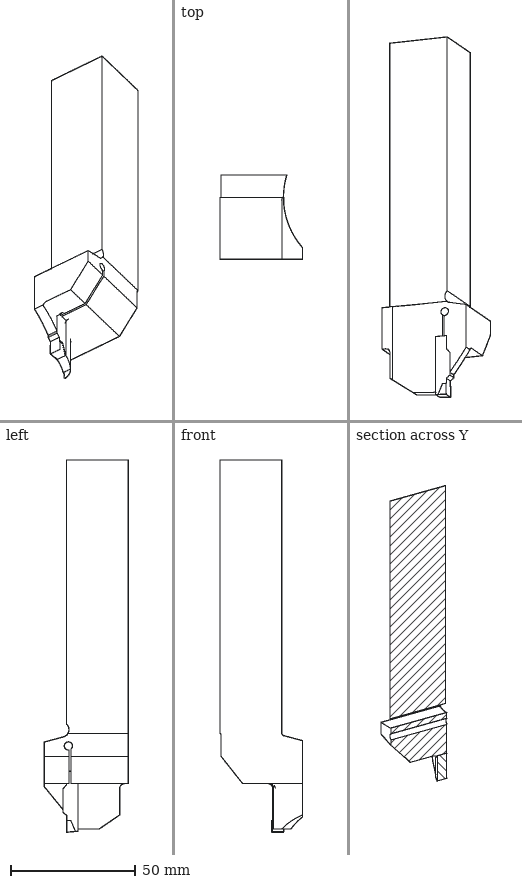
import cadquery as cq
import math


total_height = 150.0
total_width = 33.34
total_depth = 34.01

shank_size = 25.0
head_bottom = 19.6
head_slope = math.radians(15)
side_shoulder_top = 39.2
rear_shoulder_edge = 36.4
head_setback = 0.45
setback_top = 39.9
step_fillet = 1.0
corner_cut_width = 8.7
corner_cut_height = 11.0
side_fillet = 1.0
relief_depth = 1.0
relief_radius = 3.0

insert_side = 21.2
arc_center_y = 25.0
outer_radius = 25.18
inner_radius = 30.7
inner_side = 25.65
blade_bottom = 1.35
blade_fillet = 1.8
front_slope_start = (0, 9.4)
front_slope_end = (11.75, blade_bottom)
jaw_slope_start = (total_depth, 18.5)
jaw_slope_end = (24.5, 6.8)

slot_width = 0.8
slot_y = 23.55
slot_hole_radius = 1.6
slot_hole_y = 24.2
slot_hole_z = 34.8

insert_top = 24.7
insert_back_y = 20.3
insert_neck_y = 24.9
insert_wide_y = 26.4
wide_bottom = 8.0
wide_top = 17.5
wide_top_bevel = 1.7
wide_bottom_bevel = 1.2
edge_clearance = 0.4
tip_side = 20.75
tip_width = 5.0
tip_height = 4.7
tip_top_y = 23.2
tip_back_y = 21.3
tip_corner_radius = 0.4

tool_margin = 5.0
selection_margin = 0.1


def prism_along_x(points, start, end):
    """Extrude a (Y, Z) outline between two X positions."""
    return cq.Workplane("YZ", origin=(start, 0, 0)).polyline(points).close().extrude(end - start)


def make_shank_and_head():
    side_end_z = side_shoulder_top - (total_width - shank_size) * math.tan(head_slope)
    setback_bottom = setback_top - math.sqrt(step_fillet**2 - (step_fillet - head_setback) ** 2)
    arc_angle = math.acos(1 - head_setback / step_fillet) / 2
    arc_middle = (
        head_setback - step_fillet * (1 - math.cos(arc_angle)),
        setback_bottom + step_fillet * math.sin(arc_angle),
    )
    outline = (
        cq.Workplane("XZ")
        .moveTo(0, total_height)
        .lineTo(shank_size, total_height)
        .lineTo(shank_size, side_shoulder_top)
        .lineTo(total_width, side_end_z)
        .lineTo(total_width, head_bottom)
        .lineTo(head_setback + corner_cut_width, head_bottom)
        .lineTo(head_setback, head_bottom + corner_cut_height)
        .lineTo(head_setback, setback_bottom)
        .threePointArc(arc_middle, (0, setback_top))
        .close()
    )
    body = outline.extrude(-total_depth)
    inside_corner = cq.selectors.BoxSelector(
        (shank_size - selection_margin, 0, side_shoulder_top - selection_margin),
        (shank_size + selection_margin, total_depth, side_shoulder_top + selection_margin),
    )
    return body.edges(inside_corner).fillet(side_fillet)


def make_space_behind_shank():
    """Space above the +Y shoulder, with a round undercut into the shank at its foot."""
    deepest_y = shank_size - relief_depth
    arc_center = deepest_y + relief_radius
    shoulder_at_center = rear_shoulder_edge + (total_depth - arc_center) * math.tan(head_slope)
    arc_center_z = shoulder_at_center + relief_radius / math.cos(head_slope)

    def arc_point(angle):
        return (arc_center + relief_radius * math.cos(angle), arc_center_z + relief_radius * math.sin(angle))

    shank_angle = math.acos((shank_size - arc_center) / relief_radius)
    tangent_angle = 1.5 * math.pi - head_slope
    middle_angle = (shank_angle + tangent_angle) / 2
    return (
        cq.Workplane("YZ", origin=(-tool_margin, 0, 0))
        .moveTo(shank_size, total_height + tool_margin)
        .lineTo(*arc_point(shank_angle))
        .threePointArc(arc_point(middle_angle), arc_point(tangent_angle))
        .lineTo(total_depth, rear_shoulder_edge)
        .lineTo(total_depth + tool_margin, rear_shoulder_edge)
        .lineTo(total_depth + tool_margin, total_height + tool_margin)
        .close()
        .extrude(total_width + 2 * tool_margin)
    )


def upright_cylinder(center_x, radius, bottom, top):
    axis_base = cq.Workplane("XY", origin=(center_x, arc_center_y, bottom))
    return axis_base.circle(radius).extrude(top - bottom)


def make_blade():
    block = cq.Workplane("XY").box(total_width, total_depth, head_bottom - blade_bottom, centered=False)
    block = block.translate((0, 0, blade_bottom))
    outer = upright_cylinder(insert_side + outer_radius, outer_radius, blade_bottom, head_bottom)
    return block.intersect(outer)


def make_bottom_slopes():
    """Wedges that slope the two ends of the blade's underside."""
    wedges = []
    for outer_end, inner_end in ((front_slope_start, front_slope_end), (jaw_slope_start, jaw_slope_end)):
        points = [outer_end, inner_end, (inner_end[0], -tool_margin), (outer_end[0], -tool_margin)]
        wedges.append(prism_along_x(points, 0, total_width + tool_margin))
    return wedges


def insert_outline(front_bottom, back_bottom):
    """(Y, Z) outline of the insert with the given heights of its underside."""
    return [
        (insert_back_y, back_bottom),
        (insert_neck_y, front_bottom),
        (insert_neck_y, wide_bottom - wide_bottom_bevel),
        (insert_wide_y, wide_bottom),
        (insert_wide_y, wide_top),
        (insert_neck_y, wide_top + wide_top_bevel),
        (insert_neck_y, insert_top),
        (insert_back_y, insert_top),
    ]


def make_insert():
    tip_outline = [
        (insert_neck_y, 0),
        (insert_neck_y, tip_height),
        (tip_top_y, tip_height),
        (tip_back_y, edge_clearance * (insert_neck_y - tip_back_y) / (insert_neck_y - insert_back_y)),
    ]
    tip = prism_along_x(tip_outline, tip_side, tip_side + tip_width)
    tip = tip.faces("<Z").edges("<X or >X").fillet(tip_corner_radius)
    return prism_along_x(insert_outline(0, edge_clearance), insert_side, inner_side).union(tip).solids()


def make_insert_pocket():
    """Space for the insert: closed on -X inside the head, open on both sides below it."""
    outline = insert_outline(-tool_margin, -tool_margin)
    pocket = prism_along_x(outline, insert_side, total_width + tool_margin)
    below_head = cq.Workplane("XY").box(total_width, total_depth, head_bottom, centered=False)
    return pocket.union(prism_along_x(outline, 0, insert_side).intersect(below_head))


def make_slot():
    hole = cq.Workplane("YZ").center(slot_hole_y, slot_hole_z).circle(slot_hole_radius).extrude(total_width)
    slit_height = slot_hole_z - head_bottom
    slit = cq.Workplane("XY").box(total_width, slot_width, slit_height, centered=(False, True, False))
    return hole.union(slit.translate((0, slot_y, head_bottom)))


def make_holder():
    body = make_shank_and_head().union(make_blade())
    root = cq.selectors.BoxSelector(
        (0, 0, head_bottom - selection_margin),
        (total_width, total_depth, head_bottom + selection_margin),
    )
    body = body.edges(root).edges("%CIRCLE").fillet(blade_fillet)
    body = body.cut(upright_cylinder(inner_side + inner_radius, inner_radius, 0, total_height))
    for wedge in make_bottom_slopes():
        body = body.cut(wedge)
    return body.cut(make_space_behind_shank()).cut(make_insert_pocket()).cut(make_slot()).solids()


holder = make_holder()
insert = make_insert()
result = cq.Compound.makeCompound([holder.val(), insert.val()])